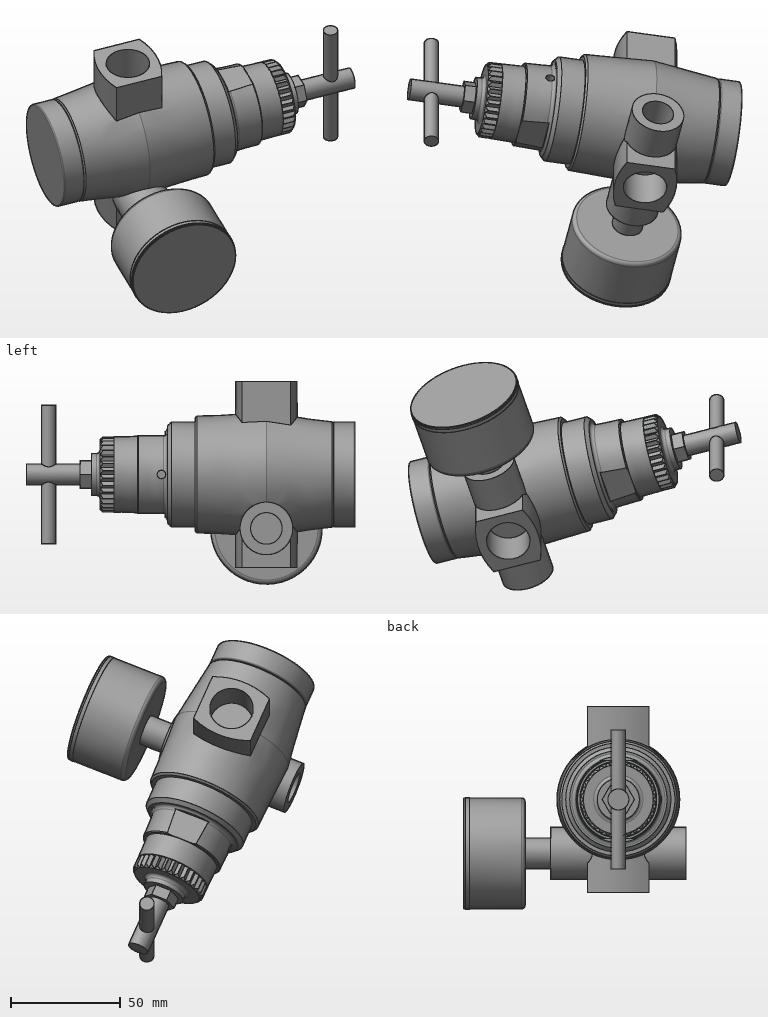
import cadquery as cq
import math


body_waist_radius = 28.0
body_bonnet_end = 32.5
body_bonnet_end_radius = 26.7
body_bonnet_end_chamfer = 0.9
body_cap_end = -30.6
body_cap_end_radius = 24.0
body_cap_end_chamfer = 0.7

block_half_height = 42.5
block_half_width = 14.1
block_half_length = 14.1
block_corner_y = 11.1
block_port_radius = 9.9
port_depth = 18.0

tube_half_length = 30.9
tube_radius = 12.0
tube_z = -24.6
tube_port_radius = 7.2

cap_radius = 24.0
cap_end = -40.5
cap_round = 0.5

flange_radius = 24.0
flange_top = 45.1
flange_chamfer = 1.8
skirt_foot_radius = 19.5
skirt_top_radius = 19.0
skirt_top = 58.8
skirt_foot_fillet = 1.8
skirt_top_chamfer = 0.5
collar_foot_radius = 17.5
knurl_radius = 17.2
knurl_foot = 69.4
knurl_top = 75.9
knurl_chamfer = 1.3
gland_radius = 9.6
gland_top = 79.8
gland_fillet = 1.6

flat_distance = 17.7
flat_foot = 46.2

groove_count = 32
groove_depth = 1.3

vent_radius = 2.0
vent_y = 47.8
vent_depth = 4.5

nut_corner_radius = 7.3
nut_top = 84.9
spindle_radius = 4.8
spindle_end = 109.5
bar_radius = 3.3
bar_half_length = 31.6
bar_y = 99.2

stem_radius = 7.0
case_back = 42.5
case_radius = 25.3
case_back_round = 1.8
bezel_radius = 25.5
bezel_back = 67.8
bezel_front = 69.5
gauge_front = 70.6
lens_edge_chamfer = 0.3

along_x = cq.Plane(origin=(0, 0, 0), xDir=(0, 1, 0), normal=(1, 0, 0))
along_y = cq.Plane(origin=(0, 0, 0), xDir=(1, 0, 0), normal=(0, 1, 0))
along_z = cq.Plane(origin=(0, 0, 0), xDir=(1, 0, 0), normal=(0, 0, 1))
tube_plane = cq.Plane(origin=(0, 0, tube_z), xDir=(0, 1, 0), normal=(1, 0, 0))


def turned(points):
    """Solid of revolution about the Y axis from (radius, y) points."""
    return cq.Workplane("XY").polyline(points).close().revolve(360, (0, 0), (0, 1))


def plane_at(plane, offset):
    """Workplane moved along its own normal."""
    return cq.Workplane(plane).workplane(offset=offset)


def rod(plane, radius, start, end):
    """Cylinder along the normal of a plane, between two places on that normal."""
    return plane_at(plane, start).circle(radius).extrude(end - start)


def rim(solid, y, radius):
    """Circular edges about the Y axis at one height and radius."""
    tolerance = 0.01

    def matches(edge):
        return (
            edge.geomType() == "CIRCLE"
            and abs(edge.Center().y - y) < tolerance
            and abs(edge.radius() - radius) < tolerance
        )

    return solid.edges().filter(matches)


def make_port_block():
    """Block with flat sides and bulged ends."""
    return (
        plane_at(along_z, -block_half_height)
        .moveTo(-block_half_width, -block_corner_y)
        .threePointArc((0, -block_half_length), (block_half_width, -block_corner_y))
        .lineTo(block_half_width, block_corner_y)
        .threePointArc((0, block_half_length), (-block_half_width, block_corner_y))
        .close()
        .extrude(2 * block_half_height)
    )


def make_body():
    casting = turned([
        (0, body_cap_end),
        (body_cap_end_radius, body_cap_end),
        (body_waist_radius, 0),
        (body_bonnet_end_radius, body_bonnet_end),
        (0, body_bonnet_end),
    ])
    casting = rim(casting, body_bonnet_end, body_bonnet_end_radius).chamfer(body_bonnet_end_chamfer)
    casting = rim(casting, body_cap_end, body_cap_end_radius).chamfer(body_cap_end_chamfer)
    casting = casting.union(make_port_block())
    casting = casting.union(rod(tube_plane, tube_radius, -tube_half_length, tube_half_length))

    block_port_floor = block_half_height - port_depth
    tube_port_floor = tube_half_length - port_depth
    return (
        casting.cut(rod(along_z, block_port_radius, block_port_floor, block_half_height))
        .cut(rod(along_z, block_port_radius, -block_half_height, -block_port_floor))
        .cut(rod(tube_plane, tube_port_radius, -tube_half_length, -tube_port_floor))
        .cut(rod(tube_plane, stem_radius, tube_port_floor, tube_half_length))
    )


def make_end_cap():
    return rod(along_y, cap_radius, cap_end, body_cap_end).edges("%CIRCLE").fillet(cap_round)


def cut_wrench_flats(bonnet):
    """Two flats, above and below the main axis, on the skirt only."""
    depth = skirt_foot_radius
    for side in (-1, 1):
        cutter = cq.Workplane("XY").box(
            2 * flange_radius, skirt_top - flat_foot, depth
        ).translate((0, (skirt_top + flat_foot) / 2, side * (flat_distance + depth / 2)))
        bonnet = bonnet.cut(cutter)
    return bonnet


def cut_knurl(bonnet):
    """Ring of V grooves, open at the gland end of the bonnet."""
    pitch = 360 / groove_count
    root_radius = knurl_radius - groove_depth
    oversize = 2
    half_width = oversize * knurl_radius * math.tan(math.radians(pitch / 2))
    outer_radius = root_radius + oversize * groove_depth
    groove = (
        plane_at(along_y, knurl_foot)
        .polyline([
            (root_radius, 0),
            (outer_radius, half_width),
            (outer_radius, -half_width),
        ])
        .close()
        .extrude(knurl_top - knurl_foot)
    )
    grooves = [
        groove.rotate((0, 0, 0), (0, 1, 0), index * pitch).val()
        for index in range(groove_count)
    ]
    return cq.Workplane(bonnet.val().cut(*grooves))


def make_bonnet():
    bonnet = turned([
        (0, body_bonnet_end),
        (flange_radius, body_bonnet_end),
        (flange_radius, flange_top),
        (skirt_foot_radius, flange_top),
        (skirt_top_radius, skirt_top),
        (collar_foot_radius, skirt_top),
        (knurl_radius, knurl_foot),
        (knurl_radius, knurl_top),
        (gland_radius, knurl_top),
        (gland_radius, gland_top),
        (0, gland_top),
    ])
    bonnet = rim(bonnet, flange_top, flange_radius).chamfer(flange_chamfer)
    bonnet = rim(bonnet, flange_top, skirt_foot_radius).fillet(skirt_foot_fillet)
    bonnet = rim(bonnet, skirt_top, skirt_top_radius).chamfer(skirt_top_chamfer)
    bonnet = rim(bonnet, knurl_top, knurl_radius).chamfer(knurl_chamfer)
    bonnet = rim(bonnet, knurl_top, gland_radius).fillet(gland_fillet)
    bonnet = cut_knurl(cut_wrench_flats(bonnet))

    vent = rod(along_x, vent_radius, -flange_radius, vent_depth - skirt_foot_radius)
    return bonnet.cut(vent.translate((0, vent_y, 0)))


def make_lock_nut():
    nut = plane_at(along_y, gland_top).polygon(6, 2 * nut_corner_radius).extrude(nut_top - gland_top)
    return nut.cut(rod(along_y, spindle_radius, gland_top, nut_top))


def make_handle_bar():
    return rod(along_z, bar_radius, -bar_half_length, bar_half_length).translate((0, bar_y, 0))


def make_spindle():
    return rod(along_y, spindle_radius, gland_top, spindle_end).cut(make_handle_bar())


def make_gauge():
    """Gauge case on a stem that fills its socket in the cross tube."""
    case = rod(tube_plane, case_radius, case_back, bezel_back)
    case = case.faces("<X").edges().fillet(case_back_round)
    bezel = rod(tube_plane, bezel_radius, bezel_back, bezel_front)
    lens = rod(tube_plane, case_radius, bezel_front, gauge_front)
    lens = lens.faces(">X").edges().chamfer(lens_edge_chamfer)
    stem = rod(tube_plane, stem_radius, tube_half_length - port_depth, case_back)
    return stem.union(case).union(bezel).union(lens)


body = make_body()
end_cap = make_end_cap()
bonnet = make_bonnet()
lock_nut = make_lock_nut()
spindle = make_spindle()
handle_bar = make_handle_bar()
gauge = make_gauge()

result = cq.Compound.makeCompound([
    body.val(),
    end_cap.val(),
    bonnet.val(),
    lock_nut.val(),
    spindle.val(),
    handle_bar.val(),
    gauge.val(),
])